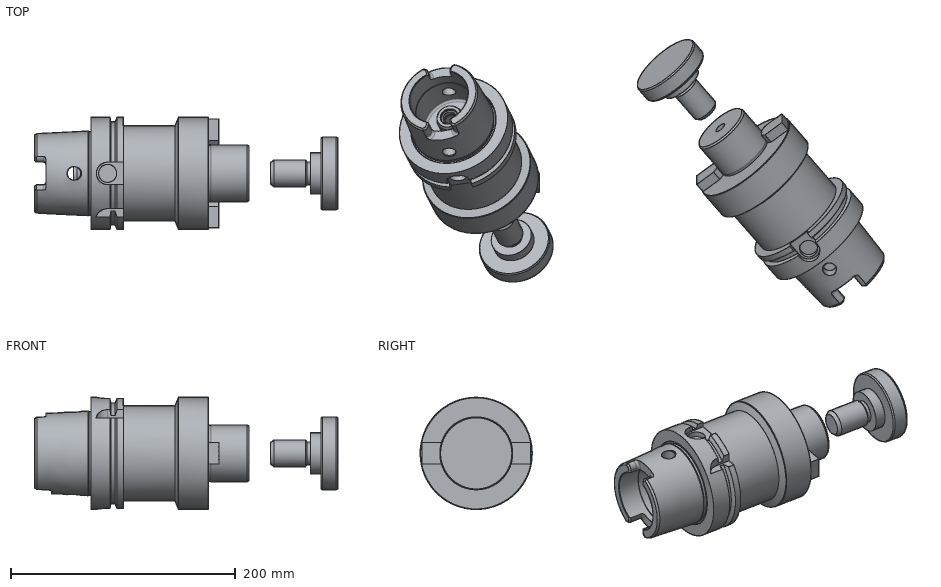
import cadquery as cq
import math


SHANK_LENGTH = 50.0
SHANK_TIP_RADIUS = 35.5
SHANK_BASE_RADIUS = 37.8
SHANK_TIP_CHAMFER_LENGTH = 2.0
SHANK_TIP_CHAMFER_HEIGHT = 1.2
NECK_LENGTH = 2.6
NECK_RADIUS = 37.5
NECK_TAPER_LENGTH = 0.9
FACE_RECESS_RADIUS = 39.4
FACE_RECESS_DEPTH = 0.6
FACE_RECESS_TAPER = 0.5

MOUTH_DIAMETER = 53.8
MOUTH_CHAMFER = 0.5
MOUTH_DEPTH = 20.5
BORE_DIAMETER = 53.0
BORE_DEPTH = SHANK_LENGTH
BORE_FLOOR_FILLET = 2.0

TUBE_DIAMETER = 24.0
TUBE_TIP_DIAMETER = 21.94
TUBE_TIP_DEPTH = 34.5
TUBE_TAPER_LENGTH = 3.2
COOLANT_DIAMETER = 10.0
COOLANT_SINK_DIAMETER = 16.0
COOLANT_RECESS_DIAMETER = 15.3
COOLANT_STEP_DIAMETER = 12.0
COOLANT_RECESS_LENGTH = 2.0
COOLANT_STEP_LENGTH = 4.0

DRIVE_SLOT_WIDTH = 20.0
UPPER_SLOT_DEPTH = 10.0
LOWER_SLOT_DEPTH = 15.0
SLOT_FLARE_HEIGHT = 27.2
SLOT_FLARE_RADIUS = 5.0
SLOT_FLOOR_FILLET = 2.3
SLOT_EDGE_CHAMFER = 1.5
CROSS_HOLE_DIAMETER = 12.0
CROSS_HOLE_DEPTH = 35.0
CROSS_HOLE_SINK_HEIGHT = 36.7

FLANGE_RADIUS = 50.0
FLANGE_LENGTH = 29.0
GROOVE_START = 17.1
GROOVE_END = 23.4
GROOVE_FLOOR_START = 17.9
GROOVE_FLOOR_END = 21.6
GROOVE_FLOOR_RADIUS = 46.0

KEYWAY_WIDTH = 20.0
KEYWAY_CENTRE = 15.0
KEYWAY_FLOOR = 44.0
KEYWAY_HOLE_DIAMETER = 16.0
KEYWAY_HOLE_DEPTH = 5.0

NOTCH_OFFSET = 31.4
NOTCH_END_RADIUS = 11.0

BODY_RADIUS = 42.5
COLLAR_START = 75.0
COLLAR_END = 105.0
COLLAR_RADIUS = 50.0
COLLAR_BEVEL_LENGTH = 2.8
COLLAR_EDGE_CHAMFER = 0.5

SPIGOT_RADIUS = 50.8 / 2
SPIGOT_END = 141.0
SPIGOT_CHAMFER_LENGTH = 1.75
SPIGOT_CHAMFER_HEIGHT = 1.0
UNDERCUT_RADIUS = 50.4 / 2
UNDERCUT_LENGTH = 1.4
UNDERCUT_TAPER_LENGTH = 0.8

DRIVE_KEY_WIDTH = 19.0
DRIVE_KEY_LENGTH = 9.0
DRIVE_KEY_OUTER = 48.5
DRIVE_KEY_INNER = 25.3
DRIVE_KEY_BEVEL = 4.0

SCREW_TIP = 160.0
SCREW_TIP_RADIUS = 19.0 / 2
SCREW_TIP_LENGTH = 3.0
SCREW_RADIUS = 24.0 / 2
SCREW_SHAFT_END = 191.0
SCREW_NECK_START = 192.5
SCREW_NECK_RADIUS = 20.3 / 2
SCREW_NECK_END = 195.5
SCREW_COLLAR_RADIUS = 37.0 / 2
SCREW_HEAD_START = 205.0
SCREW_HEAD_END = 220.0
SCREW_HEAD_RADIUS = 32.5
SCREW_HEAD_CHAMFER_LENGTH = 1.5
SCREW_HEAD_CHAMFER_HEIGHT = 0.8

TIP = -SHANK_LENGTH
OVERCUT = 5.0


def turned(profile):
    """Solid of revolution about X from (x, radius) points that start and end on the axis."""
    return cq.Workplane("XY").polyline(profile).close().revolve(360, (0, 0, 0), (1, 0, 0))


def holder_blank():
    bevel_end = COLLAR_START + COLLAR_BEVEL_LENGTH
    return turned([
        (TIP, 0),
        (TIP, SHANK_TIP_RADIUS - SHANK_TIP_CHAMFER_HEIGHT),
        (TIP + SHANK_TIP_CHAMFER_LENGTH, SHANK_TIP_RADIUS),
        (-NECK_LENGTH, SHANK_BASE_RADIUS),
        (-NECK_LENGTH + NECK_TAPER_LENGTH, NECK_RADIUS),
        (FACE_RECESS_DEPTH, NECK_RADIUS),
        (FACE_RECESS_DEPTH, FACE_RECESS_RADIUS - FACE_RECESS_TAPER),
        (0, FACE_RECESS_RADIUS),
        (0, FLANGE_RADIUS),
        (GROOVE_START, FLANGE_RADIUS),
        (GROOVE_FLOOR_START, GROOVE_FLOOR_RADIUS),
        (GROOVE_FLOOR_END, GROOVE_FLOOR_RADIUS),
        (GROOVE_END, FLANGE_RADIUS),
        (FLANGE_LENGTH, FLANGE_RADIUS),
        (FLANGE_LENGTH, BODY_RADIUS),
        (COLLAR_START, BODY_RADIUS),
        (bevel_end, COLLAR_RADIUS - COLLAR_EDGE_CHAMFER),
        (bevel_end + COLLAR_EDGE_CHAMFER, COLLAR_RADIUS),
        (COLLAR_END - COLLAR_EDGE_CHAMFER, COLLAR_RADIUS),
        (COLLAR_END, COLLAR_RADIUS - COLLAR_EDGE_CHAMFER),
        (COLLAR_END, UNDERCUT_RADIUS),
        (COLLAR_END + UNDERCUT_LENGTH, UNDERCUT_RADIUS),
        (COLLAR_END + UNDERCUT_LENGTH + UNDERCUT_TAPER_LENGTH, SPIGOT_RADIUS),
        (SPIGOT_END - SPIGOT_CHAMFER_LENGTH, SPIGOT_RADIUS),
        (SPIGOT_END, SPIGOT_RADIUS - SPIGOT_CHAMFER_HEIGHT),
        (SPIGOT_END, 0),
    ])


def shank_cavity():
    """Space inside the shank, around the central coolant tube."""
    floor = TIP + BORE_DEPTH
    mouth_end = TIP + MOUTH_DEPTH
    bore_radius = BORE_DIAMETER / 2
    tube_tip = TIP + TUBE_TIP_DEPTH
    fillet_shift = BORE_FLOOR_FILLET * (1 - math.sqrt(0.5))
    return (
        cq.Workplane("XY")
        .moveTo(TIP, 0)
        .lineTo(TIP, MOUTH_DIAMETER / 2 + MOUTH_CHAMFER)
        .lineTo(TIP + MOUTH_CHAMFER, MOUTH_DIAMETER / 2)
        .lineTo(mouth_end, MOUTH_DIAMETER / 2)
        .lineTo(mouth_end, bore_radius)
        .lineTo(floor - BORE_FLOOR_FILLET, bore_radius)
        .threePointArc(
            (floor - fillet_shift, bore_radius - fillet_shift),
            (floor, bore_radius - BORE_FLOOR_FILLET),
        )
        .lineTo(floor, TUBE_DIAMETER / 2)
        .lineTo(tube_tip + TUBE_TAPER_LENGTH, TUBE_DIAMETER / 2)
        .lineTo(tube_tip, TUBE_TIP_DIAMETER / 2)
        .lineTo(tube_tip, 0)
        .close()
        .revolve(360, (0, 0, 0), (1, 0, 0))
    )


def coolant_passage():
    tube_tip = TIP + TUBE_TIP_DEPTH
    sink_end = tube_tip + (COOLANT_SINK_DIAMETER - COOLANT_RECESS_DIAMETER) / 2
    recess_end = tube_tip + COOLANT_RECESS_LENGTH
    step_end = recess_end + COOLANT_STEP_LENGTH
    return turned([
        (tube_tip, 0),
        (tube_tip, COOLANT_SINK_DIAMETER / 2),
        (sink_end, COOLANT_RECESS_DIAMETER / 2),
        (recess_end, COOLANT_RECESS_DIAMETER / 2),
        (recess_end, COOLANT_STEP_DIAMETER / 2),
        (step_end, COOLANT_STEP_DIAMETER / 2),
        (step_end, COOLANT_DIAMETER / 2),
        (SPIGOT_END, COOLANT_DIAMETER / 2),
        (SPIGOT_END, 0),
    ])


def drive_slot_outline(plane, side, growth=0.0):
    """Slot outline, flaring outwards; side is +1 for the top and -1 for the bottom."""
    half = DRIVE_SLOT_WIDTH / 2 + growth
    flare = SLOT_FLARE_RADIUS - growth
    flare_shift = flare * (1 - math.sqrt(0.5))
    flare_mid = side * (SLOT_FLARE_HEIGHT + flare * math.sqrt(0.5))
    flare_base = side * SLOT_FLARE_HEIGHT
    flare_top = side * (SLOT_FLARE_HEIGHT + flare)
    top = side * FLANGE_RADIUS
    return (
        plane
        .moveTo(-half, 0)
        .lineTo(-half, flare_base)
        .threePointArc((-half - flare_shift, flare_mid), (-half - flare, flare_top))
        .lineTo(-half - flare, top)
        .lineTo(half + flare, top)
        .lineTo(half + flare, flare_top)
        .threePointArc((half + flare_shift, flare_mid), (half, flare_base))
        .lineTo(half, 0)
        .close()
    )


def drive_slot(depth, side):
    """Cutter for a slot with a filleted floor and a chamfered mouth."""
    plane = cq.Workplane("YZ", origin=(TIP, 0, 0))
    slot = drive_slot_outline(plane, side).extrude(depth).faces(">X").edges().fillet(SLOT_FLOOR_FILLET)
    mouth = drive_slot_outline(plane, side, SLOT_EDGE_CHAMFER).workplane(offset=SLOT_EDGE_CHAMFER)
    mouth = drive_slot_outline(mouth, side).loft(ruled=True)
    return slot.union(mouth)


def cross_hole():
    """Hole through the top shank wall; its countersink bites deeper where the taper is thicker."""
    radius = CROSS_HOLE_DIAMETER / 2
    start = BORE_DIAMETER / 4
    sink_top = CROSS_HOLE_SINK_HEIGHT + OVERCUT
    return (
        cq.Workplane("XZ", origin=(TIP + CROSS_HOLE_DEPTH, 0, 0))
        .moveTo(0, start)
        .lineTo(radius, start)
        .lineTo(radius, CROSS_HOLE_SINK_HEIGHT)
        .lineTo(radius + OVERCUT, sink_top)
        .lineTo(0, sink_top)
        .close()
        .revolve(360, (0, 0, 0), (0, 1, 0))
    )


def top_keyway():
    """Round-ended keyway, open towards the body, with a blind hole in its floor."""
    straight = FLANGE_LENGTH - KEYWAY_CENTRE
    floor = cq.Workplane("XY", origin=(KEYWAY_CENTRE, 0, KEYWAY_FLOOR))
    height = FLANGE_RADIUS - KEYWAY_FLOOR + OVERCUT
    channel = floor.rect(straight, KEYWAY_WIDTH).extrude(height).translate((straight / 2, 0, 0))
    end = floor.circle(KEYWAY_WIDTH / 2).extrude(height)
    hole = floor.circle(KEYWAY_HOLE_DIAMETER / 2).extrude(-KEYWAY_HOLE_DEPTH)
    return channel.union(end).union(hole)


def index_notch():
    """Corner notch between +Z and -Y, with a rounded end and open towards the body."""
    end_x = KEYWAY_CENTRE - NOTCH_END_RADIUS
    return (
        cq.Workplane("XY", origin=(0, 0, NOTCH_OFFSET))
        .moveTo(FLANGE_LENGTH, -NOTCH_OFFSET)
        .lineTo(KEYWAY_CENTRE, -NOTCH_OFFSET)
        .radiusArc((end_x, -NOTCH_OFFSET - NOTCH_END_RADIUS), -NOTCH_END_RADIUS)
        .lineTo(end_x, -FLANGE_RADIUS)
        .lineTo(FLANGE_LENGTH, -FLANGE_RADIUS)
        .close()
        .extrude(FLANGE_RADIUS)
    )


def drive_key():
    """Driving key on the -Y side of the collar face, bevelled where it meets the spigot."""
    half = DRIVE_KEY_WIDTH / 2
    return (
        cq.Workplane("YZ", origin=(COLLAR_END, 0, 0))
        .moveTo(-DRIVE_KEY_OUTER, -half)
        .lineTo(-DRIVE_KEY_OUTER, half)
        .lineTo(-DRIVE_KEY_INNER - DRIVE_KEY_BEVEL, half)
        .lineTo(-DRIVE_KEY_INNER, half - DRIVE_KEY_BEVEL)
        .lineTo(-DRIVE_KEY_INNER, -half + DRIVE_KEY_BEVEL)
        .lineTo(-DRIVE_KEY_INNER - DRIVE_KEY_BEVEL, -half)
        .close()
        .extrude(DRIVE_KEY_LENGTH)
    )


def make_holder():
    body = holder_blank()
    body = body.cut(drive_slot(UPPER_SLOT_DEPTH, 1)).cut(drive_slot(LOWER_SLOT_DEPTH, -1))
    body = body.cut(shank_cavity()).cut(coolant_passage())
    for turn in (0, 180):
        body = body.cut(cross_hole().rotate((0, 0, 0), (1, 0, 0), turn))
        body = body.cut(top_keyway().rotate((0, 0, 0), (1, 0, 0), turn))
        body = body.union(drive_key().rotate((0, 0, 0), (1, 0, 0), turn))
    return body.cut(index_notch())


def make_screw():
    head_rim = SCREW_HEAD_RADIUS - SCREW_HEAD_CHAMFER_HEIGHT
    return turned([
        (SCREW_TIP, 0),
        (SCREW_TIP, SCREW_TIP_RADIUS),
        (SCREW_TIP + SCREW_TIP_LENGTH, SCREW_RADIUS),
        (SCREW_SHAFT_END, SCREW_RADIUS),
        (SCREW_NECK_START, SCREW_NECK_RADIUS),
        (SCREW_NECK_END, SCREW_NECK_RADIUS),
        (SCREW_NECK_END, SCREW_COLLAR_RADIUS),
        (SCREW_HEAD_START, SCREW_COLLAR_RADIUS),
        (SCREW_HEAD_START, head_rim),
        (SCREW_HEAD_START + SCREW_HEAD_CHAMFER_LENGTH, SCREW_HEAD_RADIUS),
        (SCREW_HEAD_END - SCREW_HEAD_CHAMFER_LENGTH, SCREW_HEAD_RADIUS),
        (SCREW_HEAD_END, head_rim),
        (SCREW_HEAD_END, 0),
    ])


holder = make_holder()
screw = make_screw()
result = cq.Compound.makeCompound([holder.val(), screw.val()])